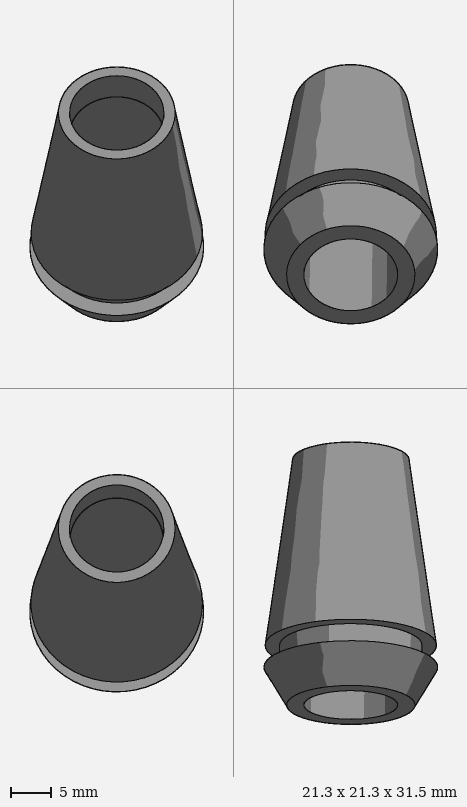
import cadquery as cq
import math

height = 31.5
flange_radius = 10.65

groove_bottom = 4.85
groove_top = 7.65
groove_radius = 8.73

flange_angle = 30.0
body_angle = 8.0
body_radius = 10.5

mouth_radius = 5.75
mouth_depth = 4.2
bore_radius = 5.73

bottom_radius = flange_radius - groove_bottom * math.tan(math.radians(flange_angle))
top_radius = body_radius - (height - groove_top) * math.tan(math.radians(body_angle))


def make_outer_body():
    """Revolve the flange, groove and tapered body around Z."""
    profile = [
        (0, 0),
        (bottom_radius, 0),
        (flange_radius, groove_bottom),
        (groove_radius, groove_bottom),
        (groove_radius, groove_top),
        (body_radius, groove_top),
        (top_radius, height),
        (0, height),
    ]
    return cq.Workplane("XZ").polyline(profile).close().revolve(360, (0, 0), (0, 1))


def make_bore():
    """Through hole widened at its upper mouth."""
    hole = cq.Workplane("XY").circle(bore_radius).extrude(height)
    mouth = cq.Workplane("XY", origin=(0, 0, height - mouth_depth)).circle(mouth_radius).extrude(mouth_depth)
    return hole.union(mouth)


result = make_outer_body().cut(make_bore())